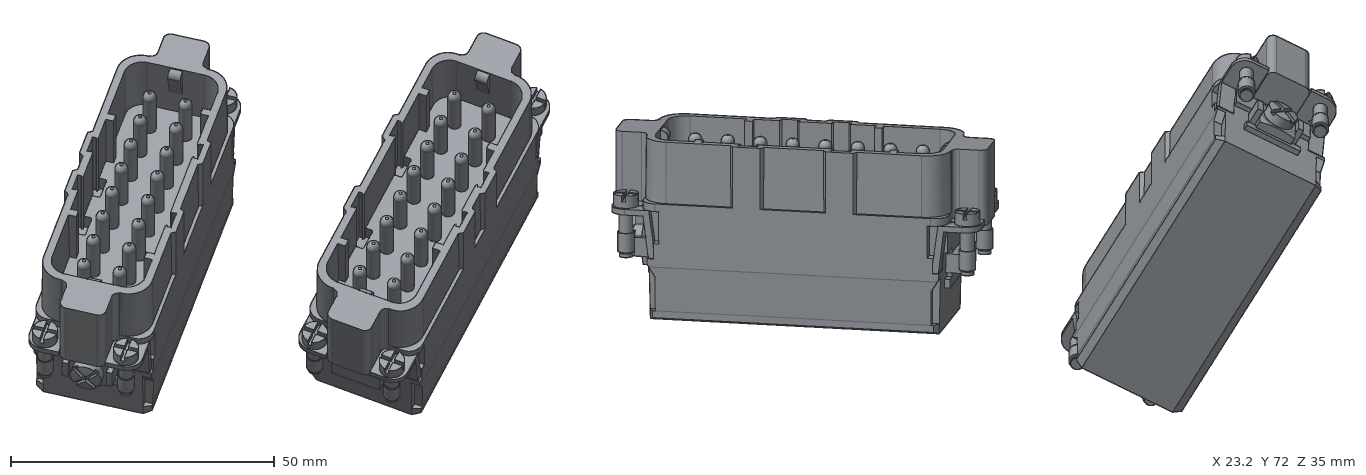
import cadquery as cq
import math

TOTAL_HEIGHT = 35.0
COLLAR_HEIGHT = 12.0
COLLAR_FLOOR = TOTAL_HEIGHT - COLLAR_HEIGHT
PLATE_TOP = 21.5
PLATE_THICKNESS = 1.1
SKIRT_TOP = 10.6
SKIRT_FOOT = 2.0

BODY_WIDTH = 23.2
BODY_LENGTH = 56.9
SHOULDER_LENGTH = 59.1
SHOULDER_RADIUS = 2.9
SIDE_DRAFT = 1.0
END_DRAFT = 1.3
BOTTOM_CHAMFER_WIDTH = 1.6
BOTTOM_CHAMFER_HEIGHT = 0.65
CORNER_NOTCH_WIDTH = 1.75
CORNER_NOTCH_Y = 26.7
FOOT_CORNER_SETBACK = 0.75
CORNER_NOTCH_TOP = 8.6
CORNER_NOTCH_SLOPE = 58.0

COLLAR_WIDTH = 21.8
COLLAR_RADIUS = 4.8
COLLAR_DRAFT = 0.7
CAVITY_WIDTH = 18.4
CAVITY_LENGTH = 55.6
CAVITY_RADIUS = 3.6
CAVITY_DRAFT = 1.0

TOTAL_LENGTH = 72.0
TAB_WIDTH = 9.0
TAB_BOTTOM = 20.2
TAB_RADIUS = 1.4
TAB_ROOT_RADIUS = 1.2

PAD_LENGTH = 5.3
PAD_FLANK = 0.5
LEFT_PAD_OFFSET = 5.0
RIGHT_PAD_OFFSET = 9.0
RIB_HEIGHT = 1.55
RIB_THICKNESS = 1.5
LEFT_RIB_OFFSET = 12.55
RIGHT_RIB_OFFSET = 18.9
WINDOW_FLOOR_LENGTH = 4.6
WINDOW_WALL_LENGTH = 3.7
WINDOW_WALL_DEPTH = 1.15
WINDOW_FLOOR_DEPTH = 3.0
WINDOW_RADIUS = 0.4
WINDOW_LIP_HEIGHT = 0.35
WINDOW_LIP_DEPTH = 0.25

WEDGE_WIDTH = 2.5
WEDGE_REACH = 1.45
WEDGE_HEIGHT = 7.0
WEDGE_TOP_GAP = 0.3
WEDGE_CROWN = 1.4

PIN_RADIUS = 1.27
PIN_TOP = 33.2
PIN_FLAT_RADIUS = 0.3
PIN_ROWS = 8
PIN_PITCH = 6.3
PIN_ROW_SPACING = 7.1

PLATE_OUTER_X = 11.2
PLATE_INNER_X = 4.6
PLATE_OUTER_Y = 35.7
PLATE_RADIUS = 3.0
LEG_INNER_X = 8.1
LEG_BOTTOM = 12.2
LEG_TOP_Y = 29.1
LEG_BOTTOM_Y = 28.1
LEG_STRAIGHT = 2.0
POCKET_STEP = 15.2
POCKET_WIDE_Y = 26.0
POCKET_FLOOR_X = 9.5
RELIEF_X = 7.75
RELIEF_TIP_Y = 30.45
RELIEF_WIDTH = 0.95
RELIEF_HEIGHT = 0.7

SCREW_X = 8.0
SCREW_Y = 33.05
SCREW_HEAD_RADIUS = 2.4
SCREW_HEAD_TOP = 23.9
SCREW_SLOT_WIDTH = 0.72
SCREW_SLOT_DEPTH = 1.15
SCREW_NECK_RADIUS = 1.36
SCREW_THREAD_RADIUS = 1.58
SCREW_THREAD_TOP = 16.3
SCREW_THREAD_BOTTOM = 12.5
SCREW_GROOVE_RADIUS = 1.15
SCREW_GROOVE_HEIGHT = 0.3
SCREW_TIP_RADIUS = 1.25
SCREW_TIP_BOTTOM = 11.5

END_FACE_Y = 29.2
END_PANEL_WIDTH = 16.0
END_PANEL_BOTTOM = 15.4
BAR_WIDTH = 9.9
BAR_TOP = 14.45
BAR_BOTTOM = 10.75
BAR_Y = 32.05
LEDGE_WIDTH = 11.6
LEDGE_TOP = 9.7
LEDGE_BOTTOM = 8.0
EARTH_Z = 12.6
WASHER_WIDTH = 7.6
WASHER_HEIGHT = 7.4
WASHER_Y = 31.0
WASHER_FACE_RADIUS = 3.7
WASHER_BEVEL = 0.4
EARTH_HEAD_RADIUS = 3.05
EARTH_HEAD_Y = 33.4
EARTH_HEAD_DOME = 0.35
EARTH_SLOT_WIDTH = 0.85
EARTH_SLOT_DEPTH = 0.9

MARGIN = 1.0


def block(x_range, y_range, z_range):
    """Box given by its two limits along each axis, in either order."""
    x0, x1 = sorted(x_range)
    y0, y1 = sorted(y_range)
    z0, z1 = sorted(z_range)
    return cq.Workplane("XY").box(x1 - x0, y1 - y0, z1 - z0, centered=False).translate((x0, y0, z0))


def rounded_rect(width, length, radius, z):
    """Rounded rectangle sketched at height z, ready to extrude."""
    sketch = cq.Sketch().rect(width, length).vertices().fillet(radius)
    return cq.Workplane("XY").workplane(offset=z).placeSketch(sketch)


def prism_along_x(yz_points, x_start, x_end):
    """Polygon in the YZ plane extruded between two X positions."""
    profile = cq.Workplane("YZ").workplane(offset=x_start).polyline(yz_points).close()
    return profile.extrude(x_end - x_start)


def prism_along_z(xy_points, z_bottom, z_top):
    """Polygon in the XY plane extruded between two heights."""
    profile = cq.Workplane("XY").workplane(offset=z_bottom).polyline(xy_points).close()
    return profile.extrude(z_top - z_bottom)


def mirror_to_corners(shape):
    """Four copies of a shape from the +X +Y quadrant, one in every quadrant."""
    pair = shape.union(shape.mirror("YZ"))
    return pair.union(pair.mirror("XZ"))


def main_block():
    """Body below the shoulder: sides drawn in over the skirt, ends drawn in over the full height."""
    side_inset = (SKIRT_TOP - SKIRT_FOOT) * math.tan(math.radians(SIDE_DRAFT))
    end_inset = PLATE_TOP * math.tan(math.radians(END_DRAFT))
    top_x = BODY_WIDTH / 2
    foot_x = top_x - side_inset
    bottom_x = foot_x - BOTTOM_CHAMFER_WIDTH
    top_y = BODY_LENGTH / 2
    bottom_y = top_y - end_inset
    cross_section = (
        cq.Workplane("XZ").workplane(offset=-top_y)
        .polyline([
            (-bottom_x, 0),
            (bottom_x, 0),
            (foot_x, BOTTOM_CHAMFER_HEIGHT),
            (foot_x, SKIRT_FOOT),
            (top_x, SKIRT_TOP),
            (top_x, PLATE_TOP),
            (-top_x, PLATE_TOP),
            (-top_x, SKIRT_TOP),
            (-foot_x, SKIRT_FOOT),
            (-foot_x, BOTTOM_CHAMFER_HEIGHT),
        ]).close().extrude(BODY_LENGTH)
    )
    side_outline = [(-bottom_y, 0), (bottom_y, 0), (top_y, PLATE_TOP), (-top_y, PLATE_TOP)]
    body = cross_section.intersect(prism_along_x(side_outline, -top_x, top_x))

    foot_corner = prism_along_z(
        [
            (foot_x, bottom_y - FOOT_CORNER_SETBACK),
            (foot_x, top_y),
            (bottom_x, top_y),
            (bottom_x, bottom_y),
        ],
        0,
        SKIRT_FOOT,
    )
    roof_rise = (top_y - CORNER_NOTCH_Y) * math.tan(math.radians(CORNER_NOTCH_SLOPE))
    notch = prism_along_x(
        [
            (CORNER_NOTCH_Y, SKIRT_FOOT),
            (CORNER_NOTCH_Y, CORNER_NOTCH_TOP),
            (top_y, CORNER_NOTCH_TOP + roof_rise),
            (top_y, SKIRT_FOOT),
        ],
        top_x - CORNER_NOTCH_WIDTH,
        top_x,
    )
    return body.cut(mirror_to_corners(foot_corner.union(notch)))


def upper_body():
    panel = block(
        (-END_PANEL_WIDTH / 2, END_PANEL_WIDTH / 2),
        (-END_FACE_Y, END_FACE_Y),
        (END_PANEL_BOTTOM, PLATE_TOP),
    )
    shoulder = rounded_rect(BODY_WIDTH, SHOULDER_LENGTH, SHOULDER_RADIUS, PLATE_TOP)
    return panel.union(shoulder.extrude(COLLAR_FLOOR - PLATE_TOP))


def leg_pockets():
    """Pockets in the body corners; the inner one follows the back of the bent leg."""
    outer_x = BODY_WIDTH / 2
    narrow_y = LEG_BOTTOM_Y - PLATE_THICKNESS
    wide = block((POCKET_FLOOR_X, outer_x), (POCKET_WIDE_Y, END_FACE_Y), (POCKET_STEP, PLATE_TOP))
    behind_leg = prism_along_x(
        [
            (END_FACE_Y, PLATE_TOP),
            (END_FACE_Y, LEG_BOTTOM),
            (narrow_y, LEG_BOTTOM),
            (narrow_y, LEG_BOTTOM + LEG_STRAIGHT),
            (LEG_TOP_Y - PLATE_THICKNESS, PLATE_TOP),
        ],
        LEG_INNER_X,
        outer_x,
    )
    return mirror_to_corners(wide.union(behind_leg))


def collar_wall():
    wall = rounded_rect(COLLAR_WIDTH, SHOULDER_LENGTH, COLLAR_RADIUS, COLLAR_FLOOR)
    return wall.extrude(COLLAR_HEIGHT, taper=COLLAR_DRAFT)


def guide_tabs():
    half = TAB_WIDTH / 2
    tip = TOTAL_LENGTH / 2
    root = SHOULDER_LENGTH / 2
    flare = half + TAB_ROOT_RADIUS
    inner = root - MARGIN
    bulge = 1 - math.sqrt(0.5)
    upper = (
        cq.Workplane("XY").workplane(offset=PLATE_TOP)
        .moveTo(-flare, inner)
        .lineTo(flare, inner)
        .lineTo(flare, root)
        .threePointArc(
            (half + bulge * TAB_ROOT_RADIUS, root + bulge * TAB_ROOT_RADIUS),
            (half, root + TAB_ROOT_RADIUS),
        )
        .lineTo(half, tip - TAB_RADIUS)
        .threePointArc(
            (half - bulge * TAB_RADIUS, tip - bulge * TAB_RADIUS),
            (half - TAB_RADIUS, tip),
        )
        .lineTo(TAB_RADIUS - half, tip)
        .threePointArc(
            (bulge * TAB_RADIUS - half, tip - bulge * TAB_RADIUS),
            (-half, tip - TAB_RADIUS),
        )
        .lineTo(-half, root + TAB_ROOT_RADIUS)
        .threePointArc(
            (-half - bulge * TAB_ROOT_RADIUS, root + bulge * TAB_ROOT_RADIUS),
            (-flare, root),
        )
        .close().extrude(TOTAL_HEIGHT - PLATE_TOP)
    )
    lower = block((-half, half), (END_FACE_Y - MARGIN, tip), (TAB_BOTTOM, PLATE_TOP))
    lower = lower.edges("|Z and >Y").fillet(TAB_RADIUS)
    tab = upper.union(lower)
    return tab.union(tab.mirror("XZ"))


def side_pad(side, y):
    """Raised pad with sloped flanks on the outside of the collar."""
    outer = BODY_WIDTH / 2
    foot = COLLAR_WIDTH / 2 - MARGIN / 2
    rise = outer - COLLAR_WIDTH / 2
    foot_half = PAD_LENGTH / 2 + PAD_FLANK * (outer - foot) / rise
    outline = [
        (side * foot, y - foot_half),
        (side * outer, y - PAD_LENGTH / 2),
        (side * outer, y + PAD_LENGTH / 2),
        (side * foot, y + foot_half),
    ]
    return prism_along_z(outline, COLLAR_FLOOR, TOTAL_HEIGHT)


def cavity():
    drafted = rounded_rect(CAVITY_WIDTH, CAVITY_LENGTH, CAVITY_RADIUS, TOTAL_HEIGHT)
    space = drafted.extrude(-COLLAR_HEIGHT, taper=CAVITY_DRAFT)
    for side, rib_offset in ((-1, LEFT_RIB_OFFSET), (1, RIGHT_RIB_OFFSET)):
        straight = block(
            (0, side * CAVITY_WIDTH / 2),
            (-rib_offset, rib_offset),
            (COLLAR_FLOOR, TOTAL_HEIGHT),
        )
        space = space.union(straight)
    return space


def coding_rib(side, y):
    wall_x = CAVITY_WIDTH / 2
    return block(
        (side * (wall_x - RIB_HEIGHT), side * (wall_x + MARGIN)),
        (y - RIB_THICKNESS / 2, y + RIB_THICKNESS / 2),
        (COLLAR_FLOOR, TOTAL_HEIGHT),
    )


def snap_window(side, y):
    """Pocket in the cavity floor that continues as a groove with a lipped mouth up the wall."""
    wall_x = CAVITY_WIDTH / 2
    bottom = COLLAR_FLOOR - WINDOW_FLOOR_DEPTH
    in_floor = block(
        (side * (wall_x - RIB_HEIGHT), side * wall_x),
        (y - WINDOW_FLOOR_LENGTH / 2, y + WINDOW_FLOOR_LENGTH / 2),
        (bottom, COLLAR_FLOOR),
    )
    inner_edges = "|Z and <X" if side > 0 else "|Z and >X"
    in_floor = in_floor.edges(inner_edges).fillet(WINDOW_RADIUS)
    half = WINDOW_WALL_LENGTH / 2
    half_profile = [
        (wall_x, half),
        (wall_x + WINDOW_LIP_DEPTH, half - WINDOW_LIP_HEIGHT),
        (wall_x + 2 * WINDOW_LIP_DEPTH, half),
        (wall_x + WINDOW_WALL_DEPTH, half),
    ]
    outline = [(side * x, y + dy) for x, dy in half_profile]
    outline += [(side * x, y - dy) for x, dy in reversed(half_profile)]
    in_wall = prism_along_z(outline, bottom, TOTAL_HEIGHT)
    return in_floor.union(in_wall)


def retaining_wedges():
    wall_y = CAVITY_LENGTH / 2
    root_y = wall_y + MARGIN
    top = TOTAL_HEIGHT - WEDGE_TOP_GAP
    peak_y = wall_y - WEDGE_REACH
    crown_mid_y = wall_y - WEDGE_REACH * math.sqrt(0.5)
    crown_mid_z = top - WEDGE_CROWN * (1 - math.sqrt(0.5))
    wedge = (
        cq.Workplane("YZ").workplane(offset=-WEDGE_WIDTH / 2)
        .moveTo(root_y, top)
        .lineTo(wall_y, top)
        .threePointArc((crown_mid_y, crown_mid_z), (peak_y, top - WEDGE_CROWN))
        .lineTo(wall_y, top - WEDGE_HEIGHT)
        .lineTo(root_y, top - WEDGE_HEIGHT)
        .close().extrude(WEDGE_WIDTH)
    )
    return wedge.union(wedge.mirror("XZ"))


def contact_pins():
    bottom = COLLAR_FLOOR - MARGIN
    dome_height = math.sqrt(PIN_RADIUS**2 - PIN_FLAT_RADIUS**2)
    shoulder_z = PIN_TOP - dome_height
    dome_mid = PIN_RADIUS * math.sqrt(0.5)
    pin = (
        cq.Workplane("XZ")
        .moveTo(0, bottom)
        .lineTo(PIN_RADIUS, bottom)
        .lineTo(PIN_RADIUS, shoulder_z)
        .threePointArc((dome_mid, shoulder_z + dome_mid), (PIN_FLAT_RADIUS, PIN_TOP))
        .lineTo(0, PIN_TOP)
        .close().revolve(360, (0, 0, 0), (0, 1, 0))
    )
    positions = cq.Workplane("XY").rarray(PIN_ROW_SPACING, PIN_PITCH, 2, PIN_ROWS)
    return positions.eachpoint(pin.val(), combine=True)


def corner_plates():
    plate_bottom = PLATE_TOP - PLATE_THICKNESS
    plate = block(
        (PLATE_INNER_X, PLATE_OUTER_X),
        (LEG_TOP_Y - PLATE_THICKNESS, PLATE_OUTER_Y),
        (plate_bottom, PLATE_TOP),
    ).edges("|Z and >X and >Y").fillet(PLATE_RADIUS)
    relief = prism_along_z(
        [
            (RELIEF_X - RELIEF_WIDTH / 2, RELIEF_TIP_Y - RELIEF_HEIGHT),
            (RELIEF_X + RELIEF_WIDTH / 2, RELIEF_TIP_Y - RELIEF_HEIGHT),
            (RELIEF_X, RELIEF_TIP_Y),
        ],
        plate_bottom,
        PLATE_TOP,
    )
    leg = prism_along_x(
        [
            (LEG_TOP_Y, PLATE_TOP),
            (LEG_TOP_Y, plate_bottom),
            (LEG_BOTTOM_Y, LEG_BOTTOM),
            (LEG_BOTTOM_Y - PLATE_THICKNESS, LEG_BOTTOM),
            (LEG_BOTTOM_Y - PLATE_THICKNESS, LEG_BOTTOM + LEG_STRAIGHT),
            (LEG_TOP_Y - PLATE_THICKNESS, PLATE_TOP),
        ],
        LEG_INNER_X,
        PLATE_OUTER_X,
    )
    return mirror_to_corners(plate.cut(relief).union(leg))


def corner_screws():
    def shaft(radius, bottom, top):
        start = cq.Workplane("XY", origin=(SCREW_X, SCREW_Y, bottom))
        return start.circle(radius).extrude(top - bottom)

    head = shaft(SCREW_HEAD_RADIUS, PLATE_TOP, SCREW_HEAD_TOP)
    slot_center = (SCREW_X, SCREW_Y, SCREW_HEAD_TOP - SCREW_SLOT_DEPTH / 2)
    slot = cq.Workplane("XY").box(2 * SCREW_HEAD_RADIUS, SCREW_SLOT_WIDTH, SCREW_SLOT_DEPTH)
    cross = slot.union(slot.rotate((0, 0, 0), (0, 0, 1), 90)).translate(slot_center)
    groove_bottom = SCREW_THREAD_BOTTOM - SCREW_GROOVE_HEIGHT
    screw = (
        head.cut(cross)
        .union(shaft(SCREW_NECK_RADIUS, SCREW_THREAD_TOP, PLATE_TOP))
        .union(shaft(SCREW_THREAD_RADIUS, SCREW_THREAD_BOTTOM, SCREW_THREAD_TOP))
        .union(shaft(SCREW_GROOVE_RADIUS, groove_bottom, SCREW_THREAD_BOTTOM))
        .union(shaft(SCREW_TIP_RADIUS, SCREW_TIP_BOTTOM, groove_bottom))
    )
    return mirror_to_corners(screw)


def terminal_supports():
    """Terminal bar, backing and ledge on both ends; the -Y bar is forked around the washer."""
    bar = block((-BAR_WIDTH / 2, BAR_WIDTH / 2), (-BAR_Y, BAR_Y), (BAR_BOTTOM, BAR_TOP))
    fork_gap = block(
        (-WASHER_WIDTH / 2, WASHER_WIDTH / 2),
        (-BAR_Y, -END_FACE_Y),
        (BAR_BOTTOM, BAR_TOP),
    )
    bar = bar.cut(fork_gap)
    backing = block(
        (-WASHER_WIDTH / 2, WASHER_WIDTH / 2),
        (-END_FACE_Y, END_FACE_Y),
        (LEDGE_TOP, END_PANEL_BOTTOM),
    )
    ledge = block(
        (-LEDGE_WIDTH / 2, LEDGE_WIDTH / 2),
        (-END_FACE_Y, END_FACE_Y),
        (LEDGE_BOTTOM, LEDGE_TOP),
    )
    return bar.union(backing).union(ledge)


def earth_screw():
    """Square washer with conically bevelled corners and a cross-slotted screw, on the -Y end."""
    washer = block(
        (-WASHER_WIDTH / 2, WASHER_WIDTH / 2),
        (-WASHER_Y, -END_FACE_Y),
        (EARTH_Z - WASHER_HEIGHT / 2, EARTH_Z + WASHER_HEIGHT / 2),
    )
    corner_radius = math.hypot(WASHER_WIDTH, WASHER_HEIGHT) / 2
    bevel = (
        cq.Workplane("XZ", origin=(0, -END_FACE_Y, EARTH_Z))
        .circle(corner_radius).extrude(WASHER_Y - END_FACE_Y)
        .faces("<Y").chamfer(WASHER_BEVEL, corner_radius - WASHER_FACE_RADIUS)
    )
    cap_radius = (EARTH_HEAD_RADIUS**2 + EARTH_HEAD_DOME**2) / (2 * EARTH_HEAD_DOME)
    cap_center = (0, cap_radius - EARTH_HEAD_Y, EARTH_Z)
    head = (
        cq.Workplane("XZ", origin=(0, -END_FACE_Y, EARTH_Z))
        .circle(EARTH_HEAD_RADIUS).extrude(EARTH_HEAD_Y - END_FACE_Y)
        .intersect(cq.Workplane("XY").sphere(cap_radius).translate(cap_center))
    )
    slot_center = (0, EARTH_SLOT_DEPTH / 2 - EARTH_HEAD_Y, EARTH_Z)
    slot = cq.Workplane("XY").box(2 * EARTH_HEAD_RADIUS, EARTH_SLOT_DEPTH, EARTH_SLOT_WIDTH)
    for angle in (45, 135):
        head = head.cut(slot.rotate((0, 0, 0), (0, 1, 0), angle).translate(slot_center))
    return washer.intersect(bevel).union(head)


housing = main_block().union(upper_body()).cut(leg_pockets())
housing = housing.union(collar_wall()).union(guide_tabs())

SIDE_LAYOUT = ((-1, LEFT_PAD_OFFSET, LEFT_RIB_OFFSET), (1, RIGHT_PAD_OFFSET, RIGHT_RIB_OFFSET))
for side, pad_offset, _ in SIDE_LAYOUT:
    for direction in (-1, 1):
        housing = housing.union(side_pad(side, direction * pad_offset))

housing = housing.cut(cavity())

for side, pad_offset, rib_offset in SIDE_LAYOUT:
    for direction in (-1, 1):
        housing = housing.cut(snap_window(side, direction * pad_offset))
        housing = housing.union(coding_rib(side, direction * rib_offset))

housing = housing.union(retaining_wedges()).union(contact_pins())
housing = housing.union(corner_plates()).union(corner_screws())
result = housing.union(terminal_supports()).union(earth_screw())